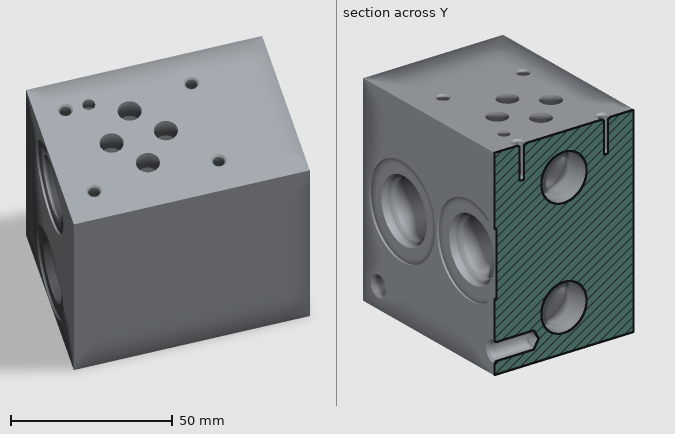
import cadquery as cq
import math

width = 53.95
length = 76.2
height = 76.2
mid_x = width / 2
mid_z = height / 2

spotface_depth = 0.8
seal_depth = 2.5
front_port = {"spotface": 30.25, "mouth": 20.65, "throat": 19.3, "bore": 17.3, "depth": 18.45}
side_port = {"spotface": 34.45, "mouth": 23.85, "throat": 22.55, "bore": 20.3, "depth": 21.3}
front_port_offset = 22.25
side_port_offset = 17.75

mount_bore = 6.4
mount_mouth = 8.0
mount_depth = 15.25
mount_inset = 7.9

bolt_bore = 3.65
bolt_mouth = 4.9
bolt_depth = 12.2
bolt_front_y = 9.6
bolt_rear_y = bolt_front_y + 40.5
bolt_front_spacing = 32.45
bolt_rear_spacing = 31.0
passage_bore = 7.5
passage_depth = 7.6
passage_center_y = 28.65
passage_offset_x = 10.4
passage_offset_y = 8.8
pin_bore = 4.05
pin_depth = 4.0
pin_x = mid_x - bolt_front_spacing / 2
pin_y = bolt_front_y + 7.55

drill_point_slope = math.tan(math.radians(118 / 2))

into_front = (0, 1, 0)
into_side = (1, 0, 0)
into_top = (0, 0, -1)


def turned_cutter(profile, position, direction):
    """Solid of revolution from (radius, depth) points, sunk from position along direction."""
    points = [(0, 0)] + profile
    cutter = cq.Workplane("XZ").polyline(points).close().revolve(360, (0, 0, 0), (0, 1, 0))
    plane = cq.Plane(origin=position, normal=direction)
    return cutter.val().moved(cq.Location(plane))


def port_cutter(port, position, direction):
    """Stepped cutter for one threaded port."""
    spotface, mouth, throat, bore = (port[name] / 2 for name in ("spotface", "mouth", "throat", "bore"))
    throat_depth = spotface_depth + seal_depth
    bore_start = throat_depth + throat - bore
    profile = [
        (spotface, 0),
        (spotface, spotface_depth),
        (mouth, spotface_depth),
        (throat, throat_depth),
        (bore, bore_start),
        (bore, port["depth"]),
        (0, port["depth"]),
    ]
    return turned_cutter(profile, position, direction)


def drilled_cutter(bore, mouth, depth, position, direction):
    """Blind hole with a 45 degree countersink and a drill point."""
    radius = bore / 2
    mouth_radius = mouth / 2
    profile = [
        (mouth_radius, 0),
        (radius, mouth_radius - radius),
        (radius, depth),
        (0, depth + radius / drill_point_slope),
    ]
    return turned_cutter(profile, position, direction)


def flat_cutter(bore, depth, position):
    """Plain flat-bottomed hole sunk from the top face."""
    radius = bore / 2
    return turned_cutter([(radius, 0), (radius, depth), (0, depth)], position, into_top)


cutters = []

for side in (-1, 1):
    port_z = mid_z + side * front_port_offset
    cutters.append(port_cutter(front_port, (mid_x, 0, port_z), into_front))

    port_y = length / 2 + side * side_port_offset
    cutters.append(port_cutter(side_port, (0, port_y, mid_z), into_side))

for mount_y in (mount_inset, length - mount_inset):
    mount_position = (0, mount_y, mount_inset)
    cutters.append(drilled_cutter(mount_bore, mount_mouth, mount_depth, mount_position, into_side))

for bolt_y, spacing in ((bolt_front_y, bolt_front_spacing), (bolt_rear_y, bolt_rear_spacing)):
    for bolt_x in (mid_x - spacing / 2, mid_x + spacing / 2):
        bolt_position = (bolt_x, bolt_y, height)
        cutters.append(drilled_cutter(bolt_bore, bolt_mouth, bolt_depth, bolt_position, into_top))

for side in (-1, 1):
    side_passage = (mid_x + side * passage_offset_x, passage_center_y, height)
    center_passage = (mid_x, passage_center_y + side * passage_offset_y, height)
    cutters.append(flat_cutter(passage_bore, passage_depth, side_passage))
    cutters.append(flat_cutter(passage_bore, passage_depth, center_passage))

cutters.append(flat_cutter(pin_bore, pin_depth, (pin_x, pin_y, height)))

result = cq.Workplane("XY").box(width, length, height, centered=False)
for cutter in cutters:
    result = result.cut(cq.Workplane(cutter))